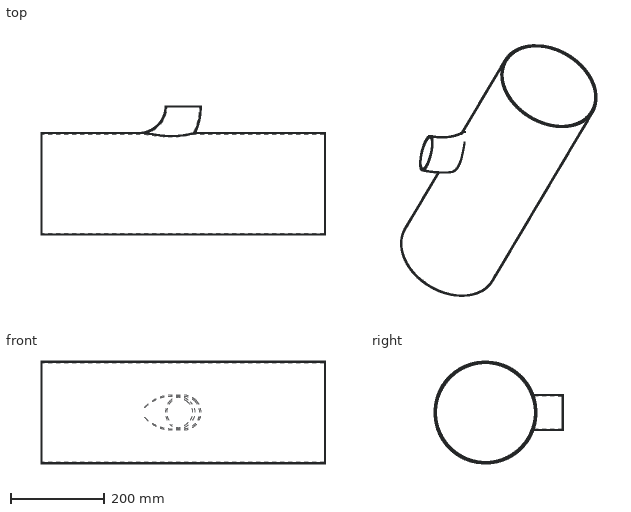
import cadquery as cq

pipe_length = 610.0
pipe_diameter = 219.1
pipe_bore = 213.1
wall = (pipe_diameter - pipe_bore) / 2

branch_diameter = 76.1
branch_bore = branch_diameter - 2 * wall
bend_radius = 95.0
bend_angle = 90.0

branch_axis_y = (pipe_diameter - branch_diameter) / 2
mouth_y = branch_axis_y + bend_radius


def pipe_cylinder(diameter):
    """Solid cylinder over the full length of the main pipe."""
    profile = cq.Workplane("YZ").circle(diameter / 2)
    return profile.extrude(pipe_length / 2, both=True)


def elbow(diameter):
    """Solid bend from the mouth at X = 0 down into the pipe, about a Z axis at X = -bend_radius."""
    mouth = cq.Workplane("XZ", origin=(0, mouth_y, 0)).circle(diameter / 2)
    bend_axis_start = (-bend_radius, 0, 0)
    bend_axis_end = (-bend_radius, -1, 0)
    return mouth.revolve(bend_angle, bend_axis_start, bend_axis_end)


outside = pipe_cylinder(pipe_diameter).union(elbow(branch_diameter))
result = outside.cut(pipe_cylinder(pipe_bore)).cut(elbow(branch_bore))